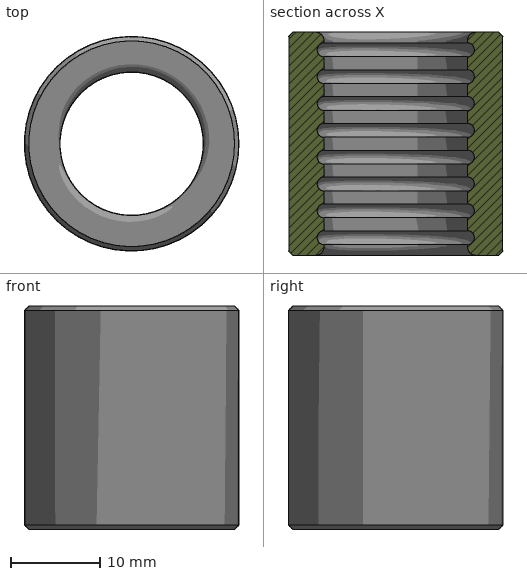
import cadquery as cq

outer_diameter = 24.0
bore_diameter = 16.0
length = 25.0
outer_chamfer = 0.5
bore_mouth_radius = 1.0
groove_count = 8
groove_pitch = 3.0
groove_radius = 0.77

outer_radius = outer_diameter / 2
bore_radius = bore_diameter / 2
first_groove_height = (length - (groove_count - 1) * groove_pitch) / 2


def make_sleeve():
    """Plain tube standing on Z = 0, chamfered outside and rounded at both bore mouths."""
    body = cq.Workplane("XY").circle(outer_radius).extrude(length)
    body = body.faces("<Z or >Z").edges().chamfer(outer_chamfer)
    bore = cq.Workplane("XY").circle(bore_radius).extrude(length)
    sleeve = body.cut(bore)
    mouth_edges = cq.selectors.RadiusNthSelector(0)
    return sleeve.edges(mouth_edges).fillet(bore_mouth_radius)


def make_groove(height):
    """Ring of round section centred on the bore wall at the given height."""
    return cq.Workplane("XY").add(
        cq.Solid.makeTorus(bore_radius, groove_radius, cq.Vector(0, 0, height), cq.Vector(0, 0, 1))
    )


result = make_sleeve()
for index in range(groove_count):
    result = result.cut(make_groove(first_groove_height + index * groove_pitch))